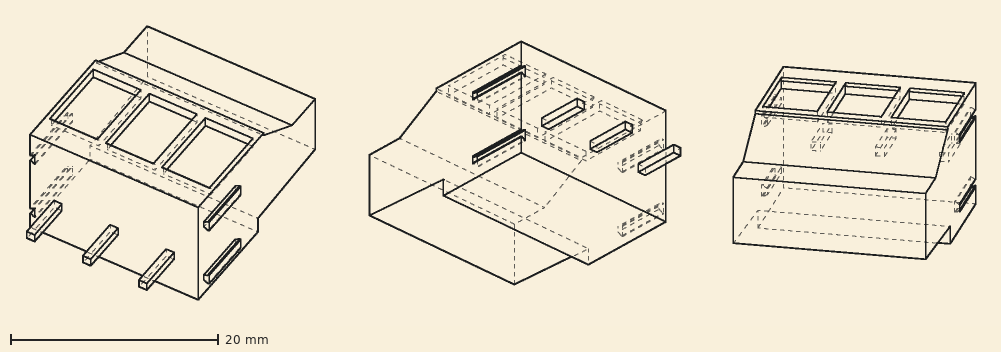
import cadquery as cq
import math

pole_count = 3
total_width = 19.65
total_depth = 26.5
height = 12.5

housing_depth = 21.5
rib_height = 0.6
housing_width = total_width - rib_height
base_depth = 11.0
base_step_height = 1.83
underside_angle = 3.0
top_depth = 12.03
top_step = 0.32
ramp_end_y = 17.22
ramp_angle = 30.0

pole_pitch = housing_width / pole_count
pin_size = 0.9
pin_length = total_depth - housing_depth
pin_z = 4.55

pocket_width = 5.38
pocket_front_y = 2.84
pocket_back_y = 10.85
pocket_depth = 1.05
pocket_chamfer = 0.26

joint_heights = [2.2, 9.38]
neck_width = 0.6
tip_width = 1.15
rib_land = 0.13
groove_depth = 0.55
groove_land = 0.08
mouth_width = 0.85
mouth_bevel_run = 0.05
rib_front_y = 1.0
joint_back_y = 6.85


def extrude_along_y(points, y_start, y_end):
    """Solid with an XZ outline, running from y_start to y_end."""
    plane = cq.Workplane("XZ", origin=(0, y_start, 0))
    return plane.polyline(points).close().extrude(y_start - y_end)


def extrude_along_x(points, x_start, width):
    """Solid with a YZ outline, running along +X."""
    return cq.Workplane("YZ", origin=(x_start, 0, 0)).polyline(points).close().extrude(width)


def make_housing():
    underside_rise = (housing_depth - base_depth) * math.tan(math.radians(underside_angle))
    ramp_top_z = height - top_step
    ramp_drop = (ramp_end_y - top_depth) * math.tan(math.radians(ramp_angle))
    profile = [
        (0, 0),
        (base_depth, 0),
        (base_depth, base_step_height),
        (housing_depth, base_step_height + underside_rise),
        (housing_depth, ramp_top_z - ramp_drop),
        (ramp_end_y, ramp_top_z - ramp_drop),
        (top_depth, ramp_top_z),
        (top_depth, height),
        (0, height),
    ]
    return extrude_along_x(profile, 0, housing_width)


def make_pocket(x_center):
    """Pocket cutter with a chamfered front edge."""
    floor_z = height - pocket_depth
    profile = [
        (pocket_front_y, height),
        (pocket_front_y + pocket_chamfer, height - pocket_chamfer),
        (pocket_front_y + pocket_chamfer, floor_z),
        (pocket_back_y, floor_z),
        (pocket_back_y, height),
    ]
    return extrude_along_x(profile, x_center - pocket_width / 2, pocket_width)


def make_pin(x_center):
    return cq.Workplane("XZ").center(x_center, pin_z).rect(pin_size, pin_size).extrude(pin_length)


def mirrored_outline(x_base, z_center, half_profile):
    """Closed outline symmetric about z_center from (x offset, half width) pairs."""
    upper = [(x_base + x, z_center + half_width) for x, half_width in half_profile]
    lower = [(x_base + x, z_center - half_width) for x, half_width in reversed(half_profile)]
    return upper + lower


def make_rib(z_center):
    """Dovetail rib that widens away from the right face to a straight-edged tip."""
    half_profile = [
        (0, neck_width / 2),
        (rib_height - rib_land, tip_width / 2),
        (rib_height, tip_width / 2),
    ]
    outline = mirrored_outline(housing_width, z_center, half_profile)
    return extrude_along_y(outline, rib_front_y, joint_back_y)


def make_groove(z_center):
    """Dovetail groove cutter with bevelled edges at its mouth in the left face."""
    half_profile = [
        (0, mouth_width / 2),
        (mouth_bevel_run, neck_width / 2),
        (groove_depth - groove_land, tip_width / 2),
        (groove_depth, tip_width / 2),
    ]
    outline = mirrored_outline(0, z_center, half_profile)
    return extrude_along_y(outline, 0, joint_back_y)


result = make_housing()

for pole in range(pole_count):
    pole_x = (pole + 0.5) * pole_pitch
    result = result.cut(make_pocket(pole_x))
    result = result.union(make_pin(pole_x))

for joint_z in joint_heights:
    result = result.cut(make_groove(joint_z))
    result = result.union(make_rib(joint_z))